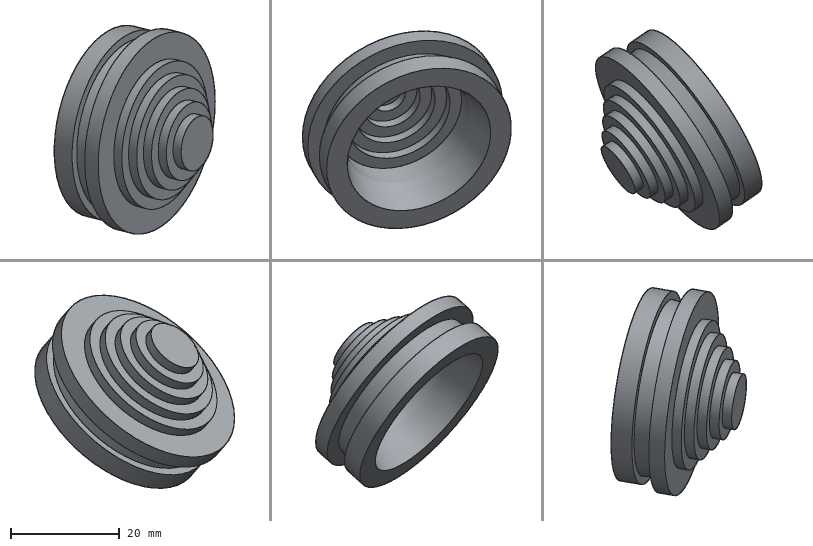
import cadquery as cq

flange_radius = 19.0
total_length = 19.5

lip_radius = 18.0
lip_width = 4.0
groove_radius_at_lip = 16.5
groove_radius_at_flange = 16.0
groove_width = 3.5
flange_width = 3.0

step_count = 5
first_step_radius = 13.95
last_step_radius = 5.2

mouth_radius = 14.0
mouth_depth = 6.25
bore_radius = 12.25
bore_end_radius = 3.2
end_wall = 1.3

groove_end = lip_width + groove_width
flange_end = groove_end + flange_width
step_length = (total_length - flange_end) / step_count


def stepped_points(first_radius, last_radius, first_end):
    """Corner points (x, radius) of a staircase that narrows along +X."""
    drop = (first_radius - last_radius) / (step_count - 1)
    points = []
    for step in range(step_count):
        radius = first_radius - step * drop
        end = first_end + step * step_length
        if step > 0:
            points.append((end - step_length, radius))
        points.append((end, radius))
    return points


def revolve_about_x(profile):
    return profile.close().revolve(360, (0, 0, 0), (1, 0, 0))


def outer_body():
    profile = cq.Workplane("XY").polyline(
        [
            (0, 0),
            (0, lip_radius),
            (lip_width, lip_radius),
            (lip_width, groove_radius_at_lip),
            (groove_end, groove_radius_at_flange),
            (groove_end, flange_radius),
            (flange_end, flange_radius),
            (flange_end, first_step_radius),
            *stepped_points(first_step_radius, last_step_radius, flange_end + step_length),
            (total_length, 0),
        ]
    )
    return revolve_about_x(profile)


def cavity():
    cavity_end = total_length - end_wall
    bore_end = cavity_end - (step_count - 1) * step_length
    profile = (
        cq.Workplane("XY")
        .moveTo(mouth_depth, bore_radius)
        .lineTo(0, mouth_radius)
        .lineTo(0, 0)
        .lineTo(cavity_end, 0)
    )
    for point in reversed(stepped_points(bore_radius, bore_end_radius, bore_end)):
        profile = profile.lineTo(*point)
    return revolve_about_x(profile)


result = outer_body().cut(cavity())